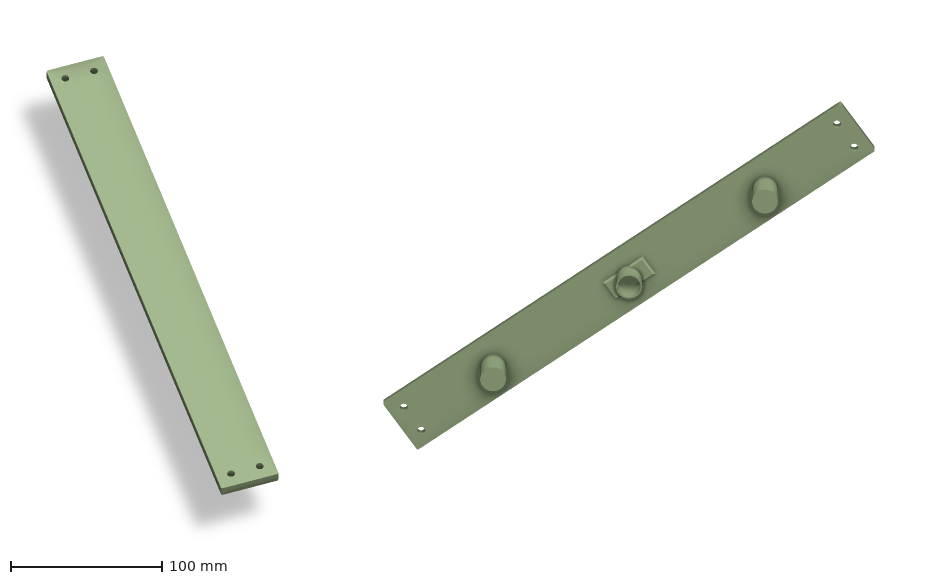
import cadquery as cq

plate_length = 370
plate_width = 40.0
plate_thickness = 7.0
corner_radius = 1.0

hole_diameter = 5.0
hole_edge_distance = 10.0
hole_spacing_x = plate_length - 2 * hole_edge_distance
hole_spacing_y = plate_width - 2 * hole_edge_distance

post_diameter = 17.0
end_post_height = 24.0
middle_post_height = 17.0
end_post_spacing = 219.8

pad_length = 32.2
pad_width = 14.8
pad_thickness = 3.0
pad_chamfer = 1.0

bore_diameter = 15.0
bore_roof = 0.92
bore_depth = middle_post_height + plate_thickness - bore_roof


def make_plate():
    plate = (
        cq.Workplane("XY")
        .box(plate_length, plate_width, plate_thickness, centered=(True, True, False))
        .edges("|Z")
        .fillet(corner_radius)
    )
    return (
        plate.faces(">Z")
        .workplane()
        .rect(hole_spacing_x, hole_spacing_y, forConstruction=True)
        .vertices()
        .hole(hole_diameter)
    )


def make_post(x, height):
    return cq.Workplane("XY").center(x, 0).circle(post_diameter / 2).extrude(-height)


def make_pad():
    return (
        cq.Workplane("XY")
        .rect(pad_length, pad_width)
        .extrude(-pad_thickness)
        .faces("<Z")
        .edges()
        .chamfer(pad_chamfer)
    )


def make_bore():
    return (
        cq.Workplane("XY")
        .workplane(offset=-middle_post_height)
        .circle(bore_diameter / 2)
        .extrude(bore_depth)
    )


result = make_plate().union(make_pad()).union(make_post(0, middle_post_height))
for side in (-1, 1):
    result = result.union(make_post(side * end_post_spacing / 2, end_post_height))
result = result.cut(make_bore())